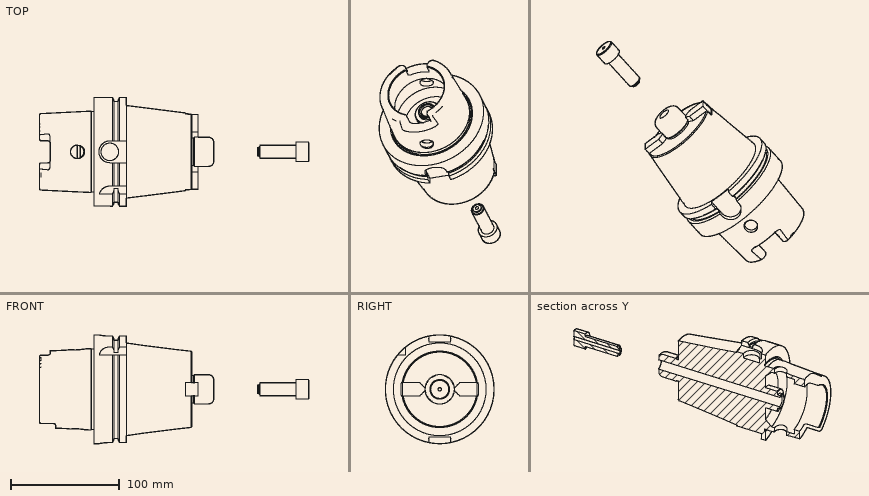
import cadquery as cq
import math

TOTAL_LENGTH = 247.4
FLANGE_START = 50.0
FLANGE_END = 79.6
NOSE_FACE = 140.0
PILOT_END = 160.0

TAPER_DIA = 75.2
TAPER_RATIO = 0.05
UNDERCUT_START = 47.2
UNDERCUT_RADIUS = 37.0
UNDERCUT_DEPTH = 1.0
UNDERCUT_FACE_RADIUS = 39.3
MOUTH_ROUNDING = 1.5

BORE_DIA = 53.0
BORE_MOUTH_DIA = 54.5
RECESS_DIA = 63.0
RECESS_START = 20.5
BORE_FLOOR_DIA = 50.5
BORE_FLOOR = 50.0

BOSS_DIA = 24.0
BOSS_FACE = 37.4
BOSS_TIP_DIA = 16.0
BOSS_TIP_FACE = 34.5
BOSS_CHAMFER = 0.5
SCREW_HOLE_DIA = 10.5
SCREW_HOLE_MOUTH_DIA = 12.5

SLOT_WIDTH = 20.0
SLOT_SHOULDER_HEIGHT = 31.5
SLOT_SHOULDER_RADIUS = 5.2
SLOT_FLOOR_ROUNDING = 2.2
TOP_SLOT_DEPTH = 10.0
BOTTOM_SLOT_DEPTH = 14.8

CROSS_HOLE_DIA = 12.0
CROSS_HOLE_X = 34.6
COUNTERSINK_START = 36.4

FLANGE_DIA = 100.0
GROOVE_START = 67.0
GROOVE_END = 73.5
GROOVE_WALL_INSET = 1.2
GROOVE_SHOULDER_RADIUS = 47.7
GROOVE_RADIUS = 46.3

NOTCH_WIDTH = 20.0
NOTCH_CENTRE_X = 64.5
NOTCH_FLOOR = 43.5
CHIP_HOLE_DIA = 16.0
CHIP_HOLE_DEPTH = 5.0
SIDE_NOTCH_FLOOR = 31.7
SIDE_NOTCH_WALL = 31.5

NOSE_BASE_RADIUS = 42.5
NOSE_BASE_LENGTH = 0.7
NOSE_RADIUS = 35.1
NOSE_CHAMFER = 1.0
PILOT_DIA = 27.0
PILOT_ROUNDING = 5.0
RELIEF_DIA = 25.5
RELIEF_LENGTH = 2.2

KEY_START = 134.0
KEY_END = 145.7
KEY_WIDTH = 12.0
KEY_OUTER_Y = 34.5
KEY_SHOULDER_Y = 18.3

SCREW_START = 200.0
SCREW_HEAD_START = 235.2
SCREW_DIA = 12.0
SCREW_HEAD_DIA = 18.0
SCREW_TIP_DIA = 8.0
SCREW_TIP_LENGTH = 1.2
SCREW_CHAMFER_DIA = 10.5
SCREW_CHAMFER_LENGTH = 1.0
SCREW_HEAD_CHAMFER = 0.7
COOLANT_HOLE_DIA = 3.0


def revolved(points):
    """Turn (x, radius) points about the X axis."""
    return cq.Workplane("XY").polyline(points).close().revolve(360, (0, 0, 0), (1, 0, 0))


def x_cylinder(diameter, start, end):
    return cq.Workplane("YZ").workplane(offset=start).circle(diameter / 2).extrude(end - start)


def holder_blank():
    mouth_radius = TAPER_DIA / 2 - TAPER_RATIO * FLANGE_START
    taper_radius = mouth_radius + TAPER_RATIO * UNDERCUT_START
    flange_radius = FLANGE_DIA / 2
    pilot_radius = PILOT_DIA / 2
    relief_radius = RELIEF_DIA / 2
    relief_end = NOSE_FACE + RELIEF_LENGTH
    blank = revolved([
        (0, 0),
        (0, mouth_radius),
        (UNDERCUT_START, taper_radius),
        (UNDERCUT_START + taper_radius - UNDERCUT_RADIUS, UNDERCUT_RADIUS),
        (FLANGE_START + UNDERCUT_DEPTH, UNDERCUT_RADIUS),
        (FLANGE_START + UNDERCUT_DEPTH, UNDERCUT_FACE_RADIUS - UNDERCUT_DEPTH),
        (FLANGE_START, UNDERCUT_FACE_RADIUS),
        (FLANGE_START, flange_radius),
        (GROOVE_START, flange_radius),
        (GROOVE_START + GROOVE_WALL_INSET, GROOVE_SHOULDER_RADIUS),
        (GROOVE_START + GROOVE_WALL_INSET, GROOVE_RADIUS),
        (GROOVE_END - GROOVE_WALL_INSET, GROOVE_RADIUS),
        (GROOVE_END - GROOVE_WALL_INSET, GROOVE_SHOULDER_RADIUS),
        (GROOVE_END, flange_radius),
        (FLANGE_END, flange_radius),
        (FLANGE_END, NOSE_BASE_RADIUS),
        (FLANGE_END + NOSE_BASE_LENGTH, NOSE_BASE_RADIUS),
        (NOSE_FACE - NOSE_CHAMFER, NOSE_RADIUS),
        (NOSE_FACE, NOSE_RADIUS - NOSE_CHAMFER),
        (NOSE_FACE, relief_radius),
        (relief_end - pilot_radius + relief_radius, relief_radius),
        (relief_end, pilot_radius),
        (PILOT_END, pilot_radius),
        (PILOT_END, 0),
    ])
    return blank.faces(">X").edges().fillet(PILOT_ROUNDING)


def clamping_bore():
    """Space inside the shank, around the stepped boss that stands on its floor."""
    bore_radius = BORE_DIA / 2
    mouth_radius = BORE_MOUTH_DIA / 2
    recess_radius = RECESS_DIA / 2
    boss_radius = BOSS_DIA / 2
    tip_radius = BOSS_TIP_DIA / 2
    hole_radius = SCREW_HOLE_DIA / 2
    hole_mouth_radius = SCREW_HOLE_MOUTH_DIA / 2
    return revolved([
        (0, 0),
        (0, mouth_radius),
        (mouth_radius - bore_radius, bore_radius),
        (RECESS_START, bore_radius),
        (RECESS_START, recess_radius),
        (BORE_FLOOR - recess_radius + BORE_FLOOR_DIA / 2, recess_radius),
        (BORE_FLOOR, BORE_FLOOR_DIA / 2),
        (BORE_FLOOR, boss_radius),
        (BOSS_FACE + BOSS_CHAMFER, boss_radius),
        (BOSS_FACE, boss_radius - BOSS_CHAMFER),
        (BOSS_FACE, tip_radius),
        (BOSS_TIP_FACE + BOSS_CHAMFER, tip_radius),
        (BOSS_TIP_FACE, tip_radius - BOSS_CHAMFER),
        (BOSS_TIP_FACE, hole_mouth_radius),
        (BOSS_TIP_FACE + hole_mouth_radius - hole_radius, hole_radius),
        (BOSS_TIP_FACE + hole_mouth_radius - hole_radius, 0),
    ])


def driving_slot(depth):
    """Slot with rounded shoulders, cut into the mouth from the +Z side."""
    half_width = SLOT_WIDTH / 2
    shoulder_y = half_width + SLOT_SHOULDER_RADIUS
    arc_start_z = SLOT_SHOULDER_HEIGHT - SLOT_SHOULDER_RADIUS
    arc_offset = SLOT_SHOULDER_RADIUS * math.cos(math.radians(45))
    arc_mid = (shoulder_y - arc_offset, arc_start_z + arc_offset)
    slot = (
        cq.Workplane("YZ")
        .moveTo(-half_width, 0)
        .lineTo(half_width, 0)
        .lineTo(half_width, arc_start_z)
        .threePointArc(arc_mid, (shoulder_y, SLOT_SHOULDER_HEIGHT))
        .lineTo(TAPER_DIA / 2, SLOT_SHOULDER_HEIGHT)
        .lineTo(TAPER_DIA / 2, TAPER_DIA)
        .lineTo(-TAPER_DIA / 2, TAPER_DIA)
        .lineTo(-TAPER_DIA / 2, SLOT_SHOULDER_HEIGHT)
        .lineTo(-shoulder_y, SLOT_SHOULDER_HEIGHT)
        .threePointArc((-arc_mid[0], arc_mid[1]), (-half_width, arc_start_z))
        .close()
        .extrude(depth)
    )
    walls = cq.selectors.BoxSelector(
        (depth - 0.2, -shoulder_y - 0.2, 2.5), (depth + 0.2, shoulder_y + 0.2, SLOT_SHOULDER_HEIGHT)
    )
    return slot.edges(walls).fillet(SLOT_FLOOR_ROUNDING)


def cross_hole():
    """Countersunk hole through one wall of the shank, on the +Z side."""
    radius = CROSS_HOLE_DIA / 2
    flare = TAPER_DIA / 2 - COUNTERSINK_START
    hole = (
        cq.Workplane("XZ")
        .polyline([
            (0, BOSS_DIA / 2),
            (radius, BOSS_DIA / 2),
            (radius, COUNTERSINK_START),
            (radius + flare, COUNTERSINK_START + flare),
            (0, COUNTERSINK_START + flare),
        ])
        .close()
        .revolve(360, (0, 0, 0), (0, 1, 0))
    )
    return hole.translate((CROSS_HOLE_X, 0, 0))


def flange_notch(centre_y, floor_z):
    """Round-ended notch milled down to floor_z, open toward +X."""
    height = FLANGE_DIA / 2 - floor_z
    length = FLANGE_END - NOTCH_CENTRE_X
    plane = cq.Workplane("XY").workplane(offset=floor_z).center(NOTCH_CENTRE_X, centre_y)
    end = plane.circle(NOTCH_WIDTH / 2).extrude(height)
    run = plane.center(length / 2, 0).rect(length, NOTCH_WIDTH).extrude(height)
    return end.union(run)


def drive_key():
    """Key on the +Y side, its inner end pointed to reach in beside the pilot."""
    half_width = KEY_WIDTH / 2
    return (
        cq.Workplane("YZ")
        .workplane(offset=KEY_START)
        .polyline([
            (KEY_OUTER_Y, -half_width),
            (KEY_OUTER_Y, half_width),
            (KEY_SHOULDER_Y, half_width),
            (KEY_SHOULDER_Y - half_width, 0),
            (KEY_SHOULDER_Y, -half_width),
        ])
        .close()
        .extrude(KEY_END - KEY_START)
    )


def key_seat():
    """Room outside the +Y key's outer face, so that the key lies flat on the nose."""
    depth = NOSE_BASE_RADIUS - KEY_OUTER_Y
    length = NOSE_FACE - KEY_START
    return cq.Workplane("XY").box(length, depth, KEY_WIDTH, centered=(False, False, True)).translate(
        (KEY_START, KEY_OUTER_Y, 0)
    )


def half_turn(shape):
    return shape.rotate((0, 0, 0), (1, 0, 0), 180)


def make_holder():
    holder = holder_blank()
    holder = holder.cut(driving_slot(TOP_SLOT_DEPTH))
    holder = holder.cut(half_turn(driving_slot(BOTTOM_SLOT_DEPTH)))
    holder = holder.faces("<X").edges().fillet(MOUTH_ROUNDING)
    holder = holder.cut(clamping_bore())
    side = cross_hole()
    holder = holder.cut(side).cut(half_turn(side))

    top_notch = flange_notch(0, NOTCH_FLOOR)
    holder = holder.cut(top_notch).cut(half_turn(top_notch))
    chip_hole = cq.Workplane("XY").workplane(offset=NOTCH_FLOOR - CHIP_HOLE_DEPTH)
    holder = holder.cut(
        chip_hole.center(NOTCH_CENTRE_X, 0).circle(CHIP_HOLE_DIA / 2).extrude(CHIP_HOLE_DEPTH)
    )
    holder = holder.cut(flange_notch(-SIDE_NOTCH_WALL - NOTCH_WIDTH / 2, SIDE_NOTCH_FLOOR))

    for turn in (0, 180):
        holder = holder.cut(key_seat().rotate((0, 0, 0), (1, 0, 0), turn))
        holder = holder.union(drive_key().rotate((0, 0, 0), (1, 0, 0), turn))
    return holder.cut(x_cylinder(SCREW_HOLE_DIA, 0, PILOT_END))


def make_screw():
    tip_radius = SCREW_TIP_DIA / 2
    shank_radius = SCREW_DIA / 2
    head_radius = SCREW_HEAD_DIA / 2
    hole_radius = COOLANT_HOLE_DIA / 2
    tip_end = SCREW_START + SCREW_TIP_LENGTH
    shank_start = tip_end + SCREW_CHAMFER_LENGTH
    return revolved([
        (SCREW_START, hole_radius),
        (SCREW_START, tip_radius),
        (tip_end, tip_radius),
        (shank_start, SCREW_CHAMFER_DIA / 2),
        (shank_start, shank_radius),
        (SCREW_HEAD_START, shank_radius),
        (SCREW_HEAD_START, head_radius),
        (TOTAL_LENGTH - SCREW_HEAD_CHAMFER, head_radius),
        (TOTAL_LENGTH, head_radius - SCREW_HEAD_CHAMFER),
        (TOTAL_LENGTH, hole_radius),
    ])


holder = make_holder()
screw = make_screw()
result = cq.Compound.makeCompound([holder.solids().val(), screw.val()])